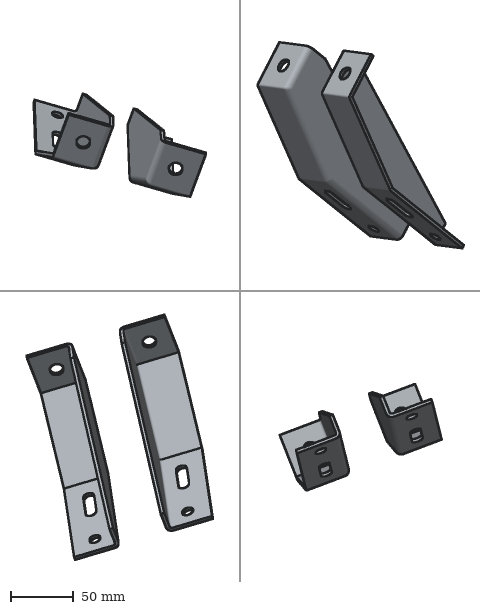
import cadquery as cq
import math


sheet = 3.0
web_bend = 5.0
fold_radius = 1.8
width = 38.0

foot_length = 90.0
ramp_run = 80.0
ramp_rise = 40.0
tab_height = 40.0
length = foot_length + ramp_run
height = ramp_rise + tab_height

web_heel = 20.0
web_top = 20.0

foot_hole_diameter = 9.0
foot_hole_place = 15.0
slot_width = 9.0
slot_start = 50.0
slot_end = 70.0
tab_hole_diameter = 11.0
tab_hole_drop = 20.0

web_gap = 39.9
tilt_x = 71.3
tilt_y = -18.6
tilt_z = -70.0

web_face = web_gap / 2
free_edge = web_face + width
hole_line = web_face + width / 2


def web_outline():
    """Outside outline of the bracket, seen square to the web."""
    return [
        (0, 0),
        (foot_length, 0),
        (length, ramp_rise),
        (length, height),
        (length - web_top, height),
        (0, web_heel),
    ]


def cavity_outline():
    """Inside faces of the flanges, carried past the open edges of the bracket."""
    ramp_angle = math.atan2(ramp_rise, ramp_run)
    foot_shift = sheet * math.tan(ramp_angle / 2)
    tab_shift = sheet * math.tan((math.pi / 2 - ramp_angle) / 2)
    clear = height
    return [
        (-clear, sheet),
        (foot_length - foot_shift, sheet),
        (length - sheet, ramp_rise + tab_shift),
        (length - sheet, height + clear),
        (-clear, height + clear),
    ]


def prism(points, start, depth):
    return cq.Workplane("XY").workplane(offset=start).polyline(points).close().extrude(depth)


def fold_corner(x, y):
    """Selector for the fold edge that runs across the strip at (x, y)."""
    return cq.selectors.BoxSelector(
        (x - sheet, y - sheet, web_face - sheet), (x + sheet, y + sheet, free_edge + sheet)
    )


def bend_edges():
    """Selector for the three edges where the flanges meet the outer face of the web."""
    edge_centres = [
        (foot_length / 2, 0),
        (foot_length + ramp_run / 2, ramp_rise / 2),
        (length, ramp_rise + tab_height / 2),
    ]
    reach = 2 * sheet
    boxes = [
        cq.selectors.BoxSelector(
            (x - reach, y - reach, web_face - sheet / 2), (x + reach, y + reach, web_face + sheet / 2)
        )
        for x, y in edge_centres
    ]
    return boxes[0] + boxes[1] + boxes[2]


def cavity():
    """Space inside the folds, with the inner web bend rounded."""
    space = prism(cavity_outline(), web_face + sheet, 2 * width)
    strip_edges = space.faces("<Z").edges("not(<X or >Y)")
    return strip_edges.fillet(web_bend - sheet)


def foot_cuts():
    """Round hole and slot through the foot."""
    plane = cq.Workplane("XZ", origin=(0, -sheet, 0))
    hole = plane.center(foot_hole_place, hole_line).circle(foot_hole_diameter / 2).extrude(-3 * sheet)
    slot_middle = (slot_start + slot_end) / 2
    slot_length = slot_end - slot_start + slot_width
    slot = plane.center(slot_middle, hole_line).slot2D(slot_length, slot_width).extrude(-3 * sheet)
    return hole.union(slot)


def tab_cut():
    """Round hole through the upright tab."""
    plane = cq.Workplane("YZ", origin=(length - 2 * sheet, 0, 0))
    return plane.center(height - tab_hole_drop, hole_line).circle(tab_hole_diameter / 2).extrude(3 * sheet)


def make_bracket():
    """One bracket, on the +z side of the mirror plane between the pair."""
    blank = prism(web_outline(), web_face, width)
    blank = blank.edges(fold_corner(foot_length, 0)).fillet(fold_radius)
    blank = blank.edges(fold_corner(length, ramp_rise)).fillet(fold_radius)
    blank = blank.edges(bend_edges()).fillet(web_bend)
    return blank.cut(cavity()).cut(foot_cuts()).cut(tab_cut())


def tilt(body):
    """Turn a body from the bracket frame to its place in space."""
    turned = body.rotate((0, 0, 0), (1, 0, 0), tilt_x)
    turned = turned.rotate((0, 0, 0), (0, 1, 0), tilt_y)
    return turned.rotate((0, 0, 0), (0, 0, 1), tilt_z)


left_bracket = make_bracket()
right_bracket = left_bracket.mirror("XY")

result = cq.Compound.makeCompound([tilt(bracket).val() for bracket in (left_bracket, right_bracket)])